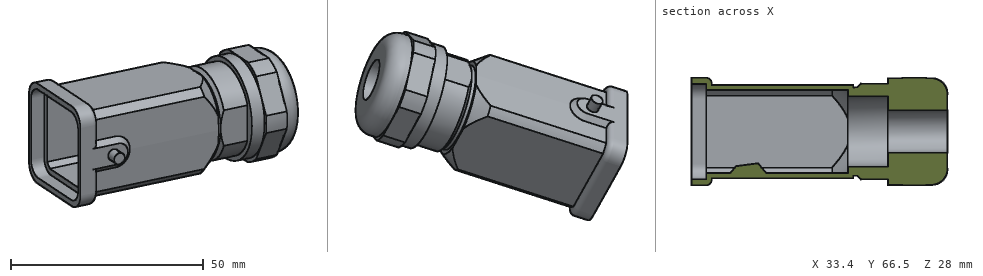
import cadquery as cq
import math


RIM_WIDTH = 27.1
RIM_HEIGHT = 28.0
RIM_LENGTH = 5.3
RIM_CORNER = 4.5
RIM_ROUNDING = 1.45
RIM_WALL_X = 1.2
RIM_WALL_Z = 1.65
MOUTH_CORNER = 3.7
MOUTH_DEPTH = RIM_LENGTH - RIM_ROUNDING

BODY_SIZE = 24.3
BODY_END = 42.0
BODY_CORNER_DIAMETER = 31.25
SIDE_DRAFT = 0.25
TAPER_LENGTH = 4.1
TAPER_END_DIAMETER = 25.3

WALL = 1.4
CAVITY_SIZE = BODY_SIZE - 2 * WALL
CAVITY_CORNER_DIAMETER = BODY_CORNER_DIAMETER - 2 * WALL
CAVITY_END = BODY_END - WALL
CAVITY_END_DIAMETER = TAPER_END_DIAMETER - 2 * WALL

NECK_DIAMETER = 23.0
NECK_END = 43.0
SLEEVE_DIAMETER = 25.1
SLEEVE_START = 43.95
COLLAR_DIAMETER = 27.8
COLLAR_START = 51.0
HEX_START = 54.7
HEX_END = 60.9
HEX_ACROSS_FLATS = 28.0
HEX_CORNER_DIAMETER = 29.9
GLAND_END = 66.5
DOME_RADIUS = 4.2
NECK_BORE = 18.3
CABLE_BORE = 11.0

EAR_Y = 11.3
EAR_TOP_DIAMETER = 5.8
EAR_BASE_DIAMETER = 9.05
EAR_ROOT = BODY_SIZE / 2 - SIDE_DRAFT
PIN_DIAMETER = 3.2
PIN_Y = 9.9
PIN_SPAN = 33.4

BOSS_Y = 14.75
BOSS_BASE_DIAMETER = 9.45
BOSS_TOP_DIAMETER = 5.8
BOSS_HEIGHT = 2.2
BOSS_SLANT = 7.5


def rounded_prism(width, height, corner, start, end):
    """Rounded rectangular bar along Y."""
    bar = cq.Workplane("XY").box(width, end - start, height).edges("|Y").fillet(corner)
    return bar.translate((0, (start + end) / 2, 0))


def cylinder(diameter, start, end):
    """Round bar on the Y axis."""
    return cq.Workplane("XZ", origin=(0, start, 0)).circle(diameter / 2).extrude(start - end)


def revolve_about_y(profile):
    """Solid turned about Y from (radius, y) points."""
    return cq.Workplane("XY").polyline(profile).close().revolve(360, (0, 0), (0, 1))


def tapered_cylinder(diameter, end, end_diameter):
    """Round bar from the mouth that narrows to a smaller diameter at y = end."""
    radius = diameter / 2
    profile = [(0, 0), (radius, 0), (radius, end - TAPER_LENGTH), (end_diameter / 2, end), (0, end)]
    return revolve_about_y(profile)


def make_rim():
    rim = rounded_prism(RIM_WIDTH, RIM_HEIGHT, RIM_CORNER, 0, RIM_LENGTH)
    return rim.faces(">Y").edges().fillet(RIM_ROUNDING)


def make_body():
    """Square bar whose side walls lean in above and below mid height, with rounded, tapered corners."""
    half = BODY_SIZE / 2
    leaned = half - SIDE_DRAFT
    outline = [(leaned, half), (half, 0), (leaned, -half), (-leaned, -half), (-half, 0), (-leaned, half)]
    bar = cq.Workplane("XZ").polyline(outline).close().extrude(-BODY_END)
    return bar.intersect(tapered_cylinder(BODY_CORNER_DIAMETER, BODY_END, TAPER_END_DIAMETER))


def make_sleeve():
    """Neck, cone and threaded sleeve, with a flat on each side as wide as the neck."""
    neck = NECK_DIAMETER / 2
    sleeve = SLEEVE_DIAMETER / 2
    profile = [(0, CAVITY_END), (neck, CAVITY_END), (neck, NECK_END), (sleeve, SLEEVE_START),
               (sleeve, COLLAR_START), (0, COLLAR_START)]
    turned = revolve_about_y(profile)
    between_flats = cq.Workplane("XY").box(NECK_DIAMETER, 2 * GLAND_END, 2 * SLEEVE_DIAMETER)
    return turned.intersect(between_flats)


def make_gland_nut():
    cap = cylinder(COLLAR_DIAMETER, COLLAR_START, GLAND_END)
    cap = cap.faces(">Y").edges().fillet(DOME_RADIUS)
    circumscribed = HEX_ACROSS_FLATS / math.cos(math.radians(30))
    hexagon = cq.Workplane("XZ", origin=(0, HEX_START, 0)).polygon(6, circumscribed)
    hexagon = hexagon.extrude(HEX_START - HEX_END)
    return cap.union(hexagon.intersect(cylinder(HEX_CORNER_DIAMETER, HEX_START, HEX_END)))


def make_ear():
    """Chamfered ear on the +X side, running from the rim to a round end."""
    height = RIM_WIDTH / 2 - EAR_ROOT
    flank = math.degrees(math.atan((EAR_BASE_DIAMETER - EAR_TOP_DIAMETER) / 2 / height))
    radius = EAR_BASE_DIAMETER / 2
    outline = cq.Workplane("YZ", origin=(EAR_ROOT, 0, 0)).moveTo(0, -radius).lineTo(EAR_Y, -radius)
    outline = outline.threePointArc((EAR_Y + radius, 0), (EAR_Y, radius)).lineTo(0, radius).close()
    ear = outline.extrude(height, taper=flank)
    rim_fill = cq.Workplane("XY").box(height, RIM_LENGTH, EAR_TOP_DIAMETER)
    rim_fill = rim_fill.translate((EAR_ROOT + height / 2, RIM_LENGTH / 2, 0))
    return ear.union(rim_fill)


def make_pin():
    pin = cq.Workplane("YZ", origin=(EAR_ROOT, 0, 0)).center(PIN_Y, 0).circle(PIN_DIAMETER / 2)
    return pin.extrude(PIN_SPAN / 2 - EAR_ROOT)


def make_cavity():
    """Mouth recess, square cavity with a tapered end, and the stepped cable bore."""
    mouth = rounded_prism(RIM_WIDTH - 2 * RIM_WALL_X, RIM_HEIGHT - 2 * RIM_WALL_Z, MOUTH_CORNER,
                          0, MOUTH_DEPTH)
    chamber = cq.Workplane("XZ").rect(CAVITY_SIZE, CAVITY_SIZE).extrude(-CAVITY_END)
    chamber = chamber.intersect(tapered_cylinder(CAVITY_CORNER_DIAMETER, CAVITY_END, CAVITY_END_DIAMETER))
    neck_bore = cylinder(NECK_BORE, 0, COLLAR_START)
    cable_bore = cylinder(CABLE_BORE, 0, GLAND_END)
    return mouth.union(chamber).union(neck_bore).union(cable_bore)


def make_boss():
    """Cone on the cavity floor, cut off by a slanted plane."""
    floor = -CAVITY_SIZE / 2
    radius = BOSS_BASE_DIAMETER / 2
    apex_height = BOSS_HEIGHT * BOSS_BASE_DIAMETER / (BOSS_BASE_DIAMETER - BOSS_TOP_DIAMETER)
    cone = cq.Workplane("XY").add(cq.Solid.makeCone(radius, 0, apex_height))
    cone = cone.translate((0, BOSS_Y, floor))
    below_slant = cq.Workplane("XY").box(2 * BOSS_BASE_DIAMETER, 2 * BOSS_BASE_DIAMETER, BODY_SIZE)
    below_slant = below_slant.translate((0, 0, -BODY_SIZE / 2)).rotate((0, 0, 0), (1, 0, 0), BOSS_SLANT)
    return cone.intersect(below_slant.translate((0, BOSS_Y, floor + BOSS_HEIGHT)))


solid = make_body().union(make_rim()).union(make_sleeve()).union(make_gland_nut())
for feature in (make_ear(), make_pin()):
    solid = solid.union(feature).union(feature.mirror("YZ"))
result = solid.cut(make_cavity()).union(make_boss())